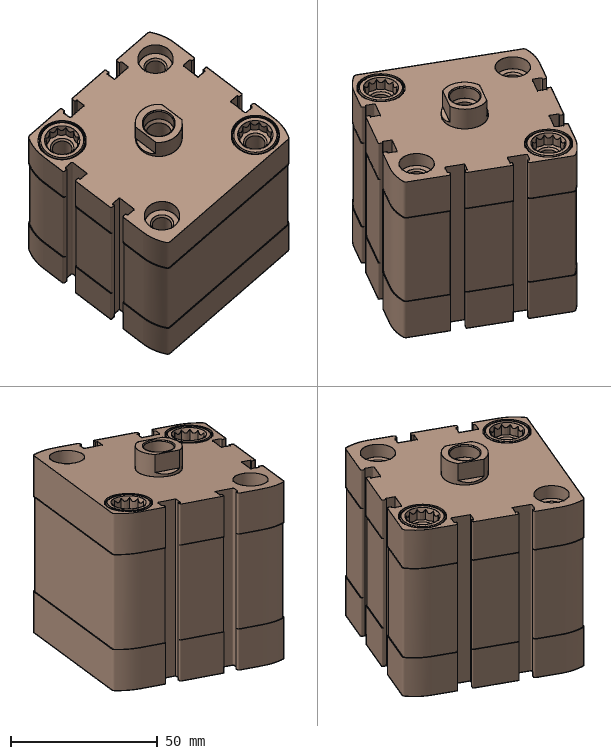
import cadquery as cq
import math

WIDTH = 65.5
TOTAL_HEIGHT = 73.2
HOUSING_HEIGHT = 65.0
CAP_HEIGHT = 15.1
TUBE_INSET = 0.3

CORNER_ARC_RADIUS = 18.0
CORNER_ARC_START = 23.3
CORNER_EDGE_RADIUS = 1.25

SLOT_OFFSET = 11.05
SLOT_NECK = 5.35
SLOT_POCKET = 7.0
SLOT_DEPTH = 5.05
SLOT_LIP = 1.6
SLOT_OUTER_RADIUS = 0.6
SLOT_INNER_RADIUS = 0.3
SLOT_POCKET_RADIUS = 0.45
SLOT_FACE_ANGLES = (-90, 90, 180)

HOLE_OFFSET = 23.3
HOLE_DIAMETER = 6.65
HOLE_RIM_DIAMETER = 8.0
RECESS_DIAMETER = 12.0
RECESS_DEPTH = 5.0

HEAD_RIM_DIAMETER = 14.7
HEAD_DIAMETER = 15.5
HEAD_SEAT_DIAMETER = 16.4
HEAD_GROOVE_DEPTH = 0.7
SOCKET_DEPTH = 4.55
SOCKET_POINT_DIAMETER = 11.5
SOCKET_MINOR_DIAMETER = 10.55
SOCKET_CONE_ANGLE = 66
HEXAGON_SIDES = 6

ROD_DIAMETER = 16.0
ROD_FLATS_WIDTH = 13.0
ROD_FLATS_LENGTH = 6.6
ROD_FLATS_RUNOUT = 0.7
BORE_RIM_DIAMETER = 11.2
BORE_DIAMETER = 10.5
BORE_DEPTH = 4.75
DRILL_DIAMETER = 8.6
DRILL_DEPTH = 15.0
DRILL_POINT_ANGLE = 118

HALF_WIDTH = WIDTH / 2
ROD_BOTTOM = HOUSING_HEIGHT - CAP_HEIGHT
ROD_LENGTH = TOTAL_HEIGHT - ROD_BOTTOM


def cone(diameter, top_diameter, height, base_z):
    """Frustum on the Z axis; the two diameters are at its lower and upper end."""
    return cq.Workplane(
        cq.Solid.makeCone(diameter / 2, top_diameter / 2, height, cq.Vector(0, 0, base_z))
    )


def cylinder(diameter, height, base_z):
    """Cylinder on the Z axis standing on base_z."""
    return cq.Workplane("XY", origin=(0, 0, base_z)).circle(diameter / 2).extrude(height)


def rounded_square(height, base_z, inset):
    """Square block whose Y faces run into shallow corner arcs, shrunk evenly by the inset."""
    arc_radius = CORNER_ARC_RADIUS - inset
    half = HALF_WIDTH - inset
    side_run = half - CORNER_ARC_START
    corner_y = HALF_WIDTH - CORNER_ARC_RADIUS + math.sqrt(arc_radius**2 - side_run**2)
    return (
        cq.Workplane("XY", origin=(0, 0, base_z))
        .moveTo(-CORNER_ARC_START, half)
        .lineTo(CORNER_ARC_START, half)
        .radiusArc((half, corner_y), arc_radius)
        .lineTo(half, -corner_y)
        .radiusArc((CORNER_ARC_START, -half), arc_radius)
        .lineTo(-CORNER_ARC_START, -half)
        .radiusArc((-half, -corner_y), arc_radius)
        .lineTo(-half, corner_y)
        .radiusArc((-CORNER_ARC_START, half), arc_radius)
        .close()
        .extrude(height)
        .edges("|Z and (>X or <X)")
        .fillet(CORNER_EDGE_RADIUS - inset)
    )


def slot(height, base_z, face):
    """Undercut slot opening on the +X face at x = face, on the +Y half of that face."""
    lip = HALF_WIDTH - SLOT_LIP
    floor = HALF_WIDTH - SLOT_DEPTH
    inner_neck = SLOT_OFFSET - SLOT_NECK / 2
    outer_neck = SLOT_OFFSET + SLOT_NECK / 2
    inner_wall = SLOT_OFFSET - SLOT_POCKET / 2
    outer_wall = SLOT_OFFSET + SLOT_POCKET / 2
    return (
        cq.Workplane("XY", origin=(0, 0, base_z))
        .moveTo(face, inner_neck - SLOT_INNER_RADIUS)
        .radiusArc((face - SLOT_INNER_RADIUS, inner_neck), -SLOT_INNER_RADIUS)
        .lineTo(lip, inner_neck)
        .lineTo(lip, inner_wall)
        .lineTo(floor, inner_wall)
        .lineTo(floor, outer_wall - SLOT_POCKET_RADIUS)
        .radiusArc((floor + SLOT_POCKET_RADIUS, outer_wall), SLOT_POCKET_RADIUS)
        .lineTo(lip - SLOT_POCKET_RADIUS, outer_wall)
        .radiusArc((lip, outer_wall - SLOT_POCKET_RADIUS), SLOT_POCKET_RADIUS)
        .lineTo(lip, outer_neck)
        .lineTo(face - SLOT_OUTER_RADIUS, outer_neck)
        .radiusArc((face, outer_neck + SLOT_OUTER_RADIUS), -SLOT_OUTER_RADIUS)
        .close()
        .extrude(height)
    )


def housing_section(height, base_z, inset):
    """One length of the housing with a mirrored pair of slots in each slotted face."""
    section = rounded_square(height, base_z, inset)
    outer_slot = slot(height, base_z, HALF_WIDTH - inset)
    slot_pair = outer_slot.add(outer_slot.mirror("XZ"))
    for angle in SLOT_FACE_ANGLES:
        for cutter in slot_pair.vals():
            section = section.cut(cq.Workplane(cutter.rotate((0, 0, 0), (0, 0, 1), angle)))
    return section


def mounting_hole(floor_depth):
    """Through hole with a countersunk rim on a floor at the given depth below the top face."""
    floor = HOUSING_HEIGHT - floor_depth
    rim_height = (HOLE_RIM_DIAMETER - HOLE_DIAMETER) / 2
    hole = cylinder(HOLE_DIAMETER, floor, 0)
    return hole.union(cone(HOLE_DIAMETER, HOLE_RIM_DIAMETER, rim_height, floor - rim_height))


def plain_recess():
    return cylinder(RECESS_DIAMETER, RECESS_DEPTH, HOUSING_HEIGHT - RECESS_DEPTH)


def twelve_point_socket():
    """Two crossed hexagons with trimmed inner ridges and a steep lead-in cone."""
    floor = HOUSING_HEIGHT - SOCKET_DEPTH
    socket = cylinder(SOCKET_MINOR_DIAMETER, SOCKET_DEPTH, floor)
    hexagon = (
        cq.Workplane("XY", origin=(0, 0, floor))
        .polygon(HEXAGON_SIDES, SOCKET_POINT_DIAMETER)
        .extrude(SOCKET_DEPTH)
    )
    half_pitch = 180 / HEXAGON_SIDES
    for angle in (0, half_pitch):
        socket = socket.union(hexagon.rotate((0, 0, 0), (0, 0, 1), angle))
    cone_width = (RECESS_DIAMETER - SOCKET_MINOR_DIAMETER) / 2
    cone_depth = cone_width * math.tan(math.radians(SOCKET_CONE_ANGLE))
    lead_in = cone(SOCKET_MINOR_DIAMETER, RECESS_DIAMETER, cone_depth, HOUSING_HEIGHT - cone_depth)
    return socket.union(lead_in)


def head_groove():
    """Ring groove between the screw seat and the chamfered edge of the head."""
    chamfer = (HEAD_DIAMETER - HEAD_RIM_DIAMETER) / 2
    base_z = HOUSING_HEIGHT - HEAD_GROOVE_DEPTH
    seat = cylinder(HEAD_SEAT_DIAMETER, HEAD_GROOVE_DEPTH, base_z)
    head = cylinder(HEAD_DIAMETER, HEAD_GROOVE_DEPTH, base_z).faces(">Z").chamfer(chamfer)
    return seat.cut(head)


def build_housing():
    tube_height = HOUSING_HEIGHT - 2 * CAP_HEIGHT
    housing = housing_section(CAP_HEIGHT, 0, 0)
    housing = housing.union(housing_section(tube_height, CAP_HEIGHT, TUBE_INSET))
    housing = housing.union(housing_section(CAP_HEIGHT, HOUSING_HEIGHT - CAP_HEIGHT, 0))
    plain_corner = mounting_hole(RECESS_DEPTH).union(plain_recess())
    screw_corner = mounting_hole(SOCKET_DEPTH).union(twelve_point_socket())
    groove = head_groove()
    for side in (-1, 1):
        offset = side * HOLE_OFFSET
        housing = housing.cut(plain_corner.translate((offset, -offset, 0)))
        housing = housing.cut(screw_corner.translate((offset, offset, 0)))
        housing = housing.cut(groove.translate((offset, offset, 0)))
    return housing.cut(cylinder(ROD_DIAMETER, CAP_HEIGHT, ROD_BOTTOM))


def wrench_flat():
    """Cutter for the +Y wrench flat, with a sloped runout at its lower end."""
    flat_y = ROD_FLATS_WIDTH / 2
    flat_bottom = TOTAL_HEIGHT - ROD_FLATS_LENGTH
    edge_y = ROD_DIAMETER / 2
    return (
        cq.Workplane("YZ")
        .moveTo(flat_y, TOTAL_HEIGHT)
        .lineTo(flat_y, flat_bottom)
        .lineTo(edge_y, flat_bottom - ROD_FLATS_RUNOUT)
        .lineTo(edge_y, TOTAL_HEIGHT)
        .close()
        .extrude(ROD_DIAMETER / 2, both=True)
    )


def rod_bore():
    """Chamfered bore, tapering down to a drilled hole with a conical point."""
    rim_height = (BORE_RIM_DIAMETER - BORE_DIAMETER) / 2
    point_height = DRILL_DIAMETER / 2 / math.tan(math.radians(DRILL_POINT_ANGLE / 2))
    drill_bottom = TOTAL_HEIGHT - DRILL_DEPTH
    bore = cylinder(BORE_DIAMETER, BORE_DEPTH, TOTAL_HEIGHT - BORE_DEPTH)
    bore = bore.union(cone(BORE_DIAMETER, BORE_RIM_DIAMETER, rim_height, TOTAL_HEIGHT - rim_height))
    taper_height = (BORE_DIAMETER - DRILL_DIAMETER) / 2
    taper_bottom = TOTAL_HEIGHT - BORE_DEPTH - taper_height
    bore = bore.union(cone(DRILL_DIAMETER, BORE_DIAMETER, taper_height, taper_bottom))
    bore = bore.union(cylinder(DRILL_DIAMETER, DRILL_DEPTH, drill_bottom))
    return bore.union(cone(0, DRILL_DIAMETER, point_height, drill_bottom - point_height))


def build_rod():
    rod = cylinder(ROD_DIAMETER, ROD_LENGTH, ROD_BOTTOM)
    flat = wrench_flat()
    return rod.cut(flat).cut(flat.mirror("XZ")).cut(rod_bore())


housing = build_housing()
rod = build_rod()
result = cq.Compound.makeCompound([housing.val(), rod.val()])